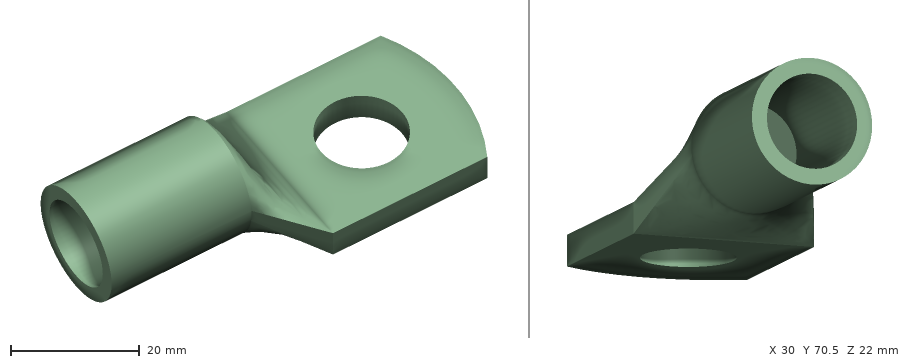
import cadquery as cq
import math

total_length = 70.5
palm_width = 30.0
palm_thickness = 5.0
overall_height = 22.0

barrel_diameter = 20.0
bore_diameter = 15.0
barrel_length = 26.0
barrel_radius = barrel_diameter / 2
axis_height = overall_height - barrel_radius

neck_length = 11.85
palm_start = barrel_length + neck_length
upper_seam_angle = 5.2
lower_seam_angle = -8.6
crown_points = [(2.95, 7.25), (5.9, 11.0), (9.4, 18.0)]

bolt_hole_diameter = 15.0
bolt_hole_to_tip = 17.4
tip_rise = 3.95


def blend(palm_value, barrel_value, share):
    """Straight-line change from the palm end (share 0) to the barrel end (share 1)."""
    return palm_value + (barrel_value - palm_value) * share


def make_barrel():
    return (
        cq.Workplane("XZ")
        .center(0, axis_height)
        .circle(barrel_radius)
        .extrude(-barrel_length)
    )


def corner_on_barrel(angle):
    """X and Z of the point on the barrel circle at an angle in degrees from +X."""
    radians = math.radians(angle)
    return barrel_radius * math.cos(radians), axis_height + barrel_radius * math.sin(radians)


def neck_section(distance, crown_height):
    """Closed section of the neck: straight flanks with an arched crown and underside."""
    share = distance / neck_length
    y = palm_start - distance
    upper_x, upper_z = corner_on_barrel(upper_seam_angle)
    lower_x, lower_z = corner_on_barrel(lower_seam_angle)
    upper_x = blend(palm_width / 2, upper_x, share)
    lower_x = blend(palm_width / 2, lower_x, share)
    upper_z = blend(palm_thickness, upper_z, share)
    lower_z = blend(0, lower_z, share)
    keel_height = blend(0, axis_height - barrel_radius, share)

    upper_right = cq.Vector(upper_x, y, upper_z)
    upper_left = cq.Vector(-upper_x, y, upper_z)
    lower_left = cq.Vector(-lower_x, y, lower_z)
    lower_right = cq.Vector(lower_x, y, lower_z)
    if distance == 0:
        top = cq.Edge.makeLine(upper_right, upper_left)
        bottom = cq.Edge.makeLine(lower_left, lower_right)
    else:
        crown = cq.Vector(0, y, crown_height)
        keel = cq.Vector(0, y, keel_height)
        top = cq.Edge.makeThreePointArc(upper_right, crown, upper_left)
        bottom = cq.Edge.makeThreePointArc(lower_left, keel, lower_right)
    left = cq.Edge.makeLine(upper_left, lower_left)
    right = cq.Edge.makeLine(lower_right, upper_right)
    return cq.Wire.assembleEdges([top, left, bottom, right])


def make_neck():
    """Smooth loft from the palm section to the barrel, with a hollow, S-shaped crown."""
    stations = [(0, palm_thickness), *crown_points, (neck_length, overall_height)]
    sections = [neck_section(distance, height) for distance, height in stations]
    return cq.Workplane(cq.Solid.makeLoft(sections))


def make_palm():
    shoulder = total_length - tip_rise
    return (
        cq.Workplane("XY")
        .moveTo(-palm_width / 2, palm_start)
        .lineTo(palm_width / 2, palm_start)
        .lineTo(palm_width / 2, shoulder)
        .threePointArc((0, total_length), (-palm_width / 2, shoulder))
        .close()
        .extrude(palm_thickness)
    )


def make_bore():
    return (
        cq.Workplane("XZ")
        .center(0, axis_height)
        .circle(bore_diameter / 2)
        .extrude(-barrel_length)
    )


def make_bolt_hole():
    return (
        cq.Workplane("XY")
        .center(0, total_length - bolt_hole_to_tip)
        .circle(bolt_hole_diameter / 2)
        .extrude(palm_thickness)
    )


body = make_barrel().union(make_neck()).union(make_palm())
result = body.cut(make_bore()).cut(make_bolt_hole())